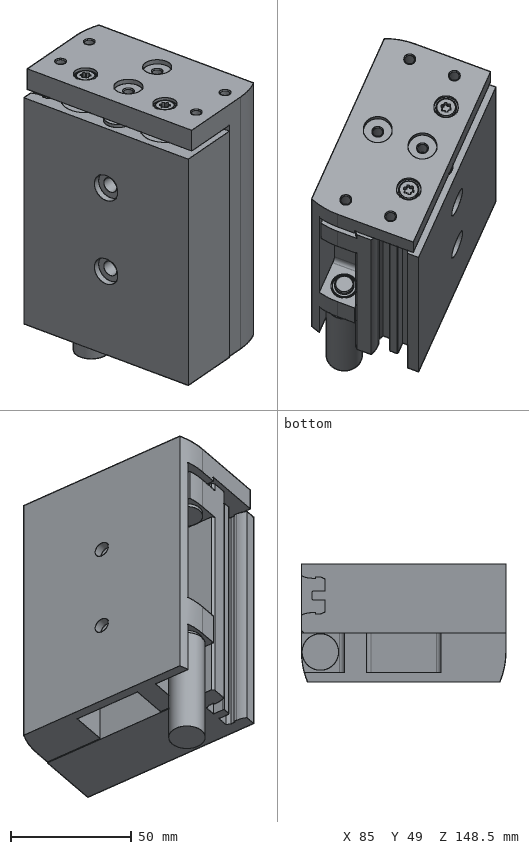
import cadquery as cq
import math

WIDTH = 85.0
DEPTH = 49.0
TOP_Z = 148.5
HALF_WIDTH = WIDTH / 2

EDGE_ARC_START_Y = 36.4
EDGE_ARC_RADIUS = 32.7

CARRIAGE_BOTTOM_Z = 27.3
CARRIAGE_FRONT_Y = 28.7
END_PLATE_THICKNESS = 10.0
END_PLATE_FRONT_Y = 2.4
END_PLATE_BOTTOM_Z = TOP_Z - END_PLATE_THICKNESS
BACK_WALL_FRONT_Y = DEPTH - 4.0
POCKET_TOP_Z = 136.5
POCKET_WALL_X = -24.7
POCKET_FILLET = 2.0
CHANNEL_HALF_WIDTH = 15.5
DAMPER_LUG_TOP_Z = 65.3
DAMPER_LUG_BOTTOM_Z = 51.2

MOUNT_X = 35.0
MOUNT_ROWS_Y = (15.6, 35.6)
THREAD_DIAMETER = 4.0
THREAD_MOUTH_CHAMFER = 0.5
THREAD_DEPTH = 8.0
SEAT_DIAMETER = 12.0
SEAT_DEPTH = 2.1

HOUSING_BOTTOM_Z = 26.9
HOUSING_TOP_Z = 135.7
HOUSING_BACK_Y = CARRIAGE_FRONT_Y
HOUSING_CORNER_CHAMFER = 1.0
LUG_TOP_Z = 132.3
LUG_BOTTOM_Z = 118.0
LUG_BACK_Y = 44.1
LUG_INNER_X = -27.0
LUG_BOSS_DIAMETER = 13.0
LUG_BOSS_HEIGHT = 1.5
BODY_HOLES_Z = (67.0, 107.0)
BODY_HOLE_DIAMETER = 6.7
BODY_SEAT_DEPTH = 3.0

GROOVE_CENTER_Y = 13.0
GROOVE_MOUTH_HALF_WIDTH = 8.2
GROOVE_LIP_HALF_WIDTH = 7.1
GROOVE_UNDERCUT_HALF_WIDTH = 7.7
GROOVE_FLOOR_HALF_WIDTH = 6.8
GROOVE_LIP_START_DEPTH = 4.5
GROOVE_LIP_END_DEPTH = 5.8
GROOVE_UNDERCUT_END_DEPTH = 7.9
GROOVE_DEPTH = 9.8
GROOVE_RIB_WIDTH = 3.9
GROOVE_RIB_CHAMFER = 0.5

ROD_X = 20.5
ROD_Y = 13.4
ROD_DIAMETER = 10.1
ROD_BOTTOM_Z = 111.4
ROD_RECESS_DIAMETER = 20.0
ROD_RECESS_DEPTH = 1.0
ROD_HEAD_DIAMETER = 8.6
ROD_HEAD_CHAMFER = 0.5
ROD_HEAD_SETBACK = 0.6
ROD_HEAD_SEAT_DIAMETER = 10.1
ROD_HEAD_SEAT_DEPTH = 1.3
STAR_CORE_DIAMETER = 3.3
STAR_LOBE_DIAMETER = 1.2
STAR_POINTS = 6
STAR_DEPTH = 2.2

STUD_Y = 8.3
STUD_FLANGE_DIAMETER = 12.0
STUD_FLANGE_HEIGHT = 1.5
STUD_HEAD_DIAMETER = 6.7
STUD_SHANK_DIAMETER = 6.5
STUD_SHANK_LENGTH = 8.0

DAMPER_X = -34.6
DAMPER_Y = 36.5
DAMPER_DIAMETER = 15.1
DAMPER_BODY_TOP_Z = 49.3
DAMPER_NECK_DIAMETER = 13.0
DAMPER_STEM_DIAMETER = 10.0
DAMPER_HOLE_MOUTH_DIAMETER = 11.0
DAMPER_HOLE_MOUTH_DEPTH = 0.6
DAMPER_PIN_DIAMETER = 8.0
DAMPER_PIN_HEIGHT = 1.8
DAMPER_PIN_CHAMFER = 0.5


def box(x_range, y_range, z_range):
    """Box between the given (low, high) limits along each axis."""
    return (
        cq.Workplane("XY")
        .box(x_range[1] - x_range[0], y_range[1] - y_range[0], z_range[1] - z_range[0], centered=False)
        .translate((x_range[0], y_range[0], z_range[0]))
    )


def post(x, y, diameter, z_low, z_high):
    """Upright cylinder."""
    return cq.Workplane("XY", origin=(x, y, z_low)).circle(diameter / 2).extrude(z_high - z_low)


def arc_inset(y):
    """How far the rounded rear edge lies inside the full half width at a given Y."""
    return EDGE_ARC_RADIUS - math.sqrt(EDGE_ARC_RADIUS**2 - (y - EDGE_ARC_START_Y) ** 2)


def rounded_outline(front_y, z_low, z_high):
    """Full-width prism whose two rear edges curve inward."""
    middle_y = (EDGE_ARC_START_Y + DEPTH) / 2
    middle_x = HALF_WIDTH - arc_inset(middle_y)
    back_x = HALF_WIDTH - arc_inset(DEPTH)
    return (
        cq.Workplane("XY", origin=(0, 0, z_low))
        .moveTo(-HALF_WIDTH, front_y)
        .lineTo(HALF_WIDTH, front_y)
        .lineTo(HALF_WIDTH, EDGE_ARC_START_Y)
        .threePointArc((middle_x, middle_y), (back_x, DEPTH))
        .lineTo(-back_x, DEPTH)
        .threePointArc((-middle_x, middle_y), (-HALF_WIDTH, EDGE_ARC_START_Y))
        .close()
        .extrude(z_high - z_low)
    )


def body_holes():
    """Cutters for the cross holes that run front to back through housing and carriage."""
    points = [(0, z) for z in BODY_HOLES_Z]
    return cq.Workplane("XZ").pushPoints(points).circle(BODY_HOLE_DIAMETER / 2).extrude(-DEPTH)


def carriage_clearances():
    """Rear channel and the two side pockets above and below the damper lug."""
    depth_range = (CARRIAGE_FRONT_Y, BACK_WALL_FRONT_Y)
    pocket_x = (-HALF_WIDTH, POCKET_WALL_X)
    channel = box(
        (-CHANNEL_HALF_WIDTH, CHANNEL_HALF_WIDTH), depth_range, (CARRIAGE_BOTTOM_Z, POCKET_TOP_Z)
    ).edges("|Y and >Z").fillet(POCKET_FILLET)
    upper_pocket = box(pocket_x, depth_range, (DAMPER_LUG_TOP_Z, POCKET_TOP_Z))
    upper_pocket = upper_pocket.edges("|Y and >X").fillet(POCKET_FILLET)
    lower_pocket = box(pocket_x, depth_range, (CARRIAGE_BOTTOM_Z, DAMPER_LUG_BOTTOM_Z))
    lower_pocket = lower_pocket.edges("|Y and >X and >Z").fillet(POCKET_FILLET)
    return channel, upper_pocket, lower_pocket


def threaded_hole(x, y, mouth_z):
    """Cutter for a blind hole with a chamfered mouth."""
    hole = post(x, y, THREAD_DIAMETER, mouth_z - THREAD_DEPTH, mouth_z)
    mouth_radius = THREAD_DIAMETER / 2 + THREAD_MOUTH_CHAMFER
    mouth = cq.Solid.makeCone(
        mouth_radius - THREAD_MOUTH_CHAMFER,
        mouth_radius,
        THREAD_MOUTH_CHAMFER,
        cq.Vector(x, y, mouth_z - THREAD_MOUTH_CHAMFER),
    )
    return hole.union(cq.Workplane(mouth))


def make_carriage():
    carriage = rounded_outline(END_PLATE_FRONT_Y, END_PLATE_BOTTOM_Z, TOP_Z)
    carriage = carriage.union(rounded_outline(CARRIAGE_FRONT_Y, CARRIAGE_BOTTOM_Z, END_PLATE_BOTTOM_Z))
    for clearance in carriage_clearances():
        carriage = carriage.cut(clearance)

    for y in MOUNT_ROWS_Y:
        for x in (-MOUNT_X, MOUNT_X):
            carriage = carriage.cut(threaded_hole(x, y, TOP_Z))
        carriage = carriage.cut(post(0, y, SEAT_DIAMETER, TOP_Z - SEAT_DEPTH, TOP_Z))
        carriage = carriage.cut(threaded_hole(0, y, TOP_Z - SEAT_DEPTH))

    for x in (-ROD_X, ROD_X):
        carriage = carriage.cut(post(x, ROD_Y, ROD_HEAD_DIAMETER, END_PLATE_BOTTOM_Z, TOP_Z))
        carriage = carriage.cut(
            post(x, ROD_Y, ROD_HEAD_SEAT_DIAMETER, TOP_Z - ROD_HEAD_SEAT_DEPTH, TOP_Z)
        )

    carriage = carriage.cut(
        post(DAMPER_X, DAMPER_Y, DAMPER_STEM_DIAMETER, DAMPER_LUG_BOTTOM_Z, DAMPER_LUG_TOP_Z)
    )
    carriage = carriage.cut(
        post(
            DAMPER_X,
            DAMPER_Y,
            DAMPER_HOLE_MOUTH_DIAMETER,
            DAMPER_LUG_TOP_Z - DAMPER_HOLE_MOUTH_DEPTH,
            DAMPER_LUG_TOP_Z,
        )
    )
    return carriage.cut(body_holes())


def groove_flare_middle():
    """Middle point of the flare arc that leaves the lip tangentially and ends at the groove mouth."""
    flare = GROOVE_MOUTH_HALF_WIDTH - GROOVE_LIP_HALF_WIDTH
    radius = (GROOVE_LIP_START_DEPTH**2 + flare**2) / (2 * flare)
    half_sweep = math.asin(GROOVE_LIP_START_DEPTH / radius) / 2
    depth = GROOVE_LIP_START_DEPTH - radius * math.sin(half_sweep)
    half_width = GROOVE_LIP_HALF_WIDTH + radius * (1 - math.cos(half_sweep))
    return depth, half_width


def side_groove():
    """Cutter for the ribbed sensor groove along the -X side."""
    back_wall = [
        (GROOVE_LIP_END_DEPTH, GROOVE_LIP_HALF_WIDTH),
        (GROOVE_LIP_END_DEPTH, GROOVE_UNDERCUT_HALF_WIDTH),
        (GROOVE_UNDERCUT_END_DEPTH, GROOVE_UNDERCUT_HALF_WIDTH),
        (GROOVE_DEPTH, GROOVE_FLOOR_HALF_WIDTH),
    ]
    front_wall = [(depth, -half_width) for depth, half_width in reversed(back_wall)]
    flare_depth, flare_half_width = groove_flare_middle()
    groove_origin = (-HALF_WIDTH, GROOVE_CENTER_Y, HOUSING_BOTTOM_Z)
    groove = cq.Workplane("XY", origin=groove_origin).moveTo(GROOVE_LIP_START_DEPTH, GROOVE_LIP_HALF_WIDTH)
    for depth, y in back_wall + front_wall:
        groove = groove.lineTo(depth, y)
    groove = (
        groove.lineTo(GROOVE_LIP_START_DEPTH, -GROOVE_LIP_HALF_WIDTH)
        .threePointArc((flare_depth, -flare_half_width), (0, -GROOVE_MOUTH_HALF_WIDTH))
        .lineTo(0, GROOVE_MOUTH_HALF_WIDTH)
        .threePointArc((flare_depth, flare_half_width), (GROOVE_LIP_START_DEPTH, GROOVE_LIP_HALF_WIDTH))
        .close()
        .extrude(HOUSING_TOP_Z - HOUSING_BOTTOM_Z)
    )
    rib_x = (-HALF_WIDTH + GROOVE_LIP_START_DEPTH, -HALF_WIDTH + GROOVE_DEPTH)
    rib_y = (GROOVE_CENTER_Y - GROOVE_RIB_WIDTH / 2, GROOVE_CENTER_Y + GROOVE_RIB_WIDTH / 2)
    rib = box(rib_x, rib_y, (HOUSING_BOTTOM_Z, HOUSING_TOP_Z))
    return groove.cut(rib.edges("|Z and <X").chamfer(GROOVE_RIB_CHAMFER))


def make_housing():
    housing = box((-HALF_WIDTH, HALF_WIDTH), (0, HOUSING_BACK_Y), (HOUSING_BOTTOM_Z, HOUSING_TOP_Z))
    housing = housing.edges("|Z and <X and >Y").chamfer(HOUSING_CORNER_CHAMFER)

    lug_root_y = HOUSING_BACK_Y - HOUSING_CORNER_CHAMFER
    lug = rounded_outline(lug_root_y, LUG_BOTTOM_Z, LUG_TOP_Z).intersect(
        box((-HALF_WIDTH, LUG_INNER_X), (lug_root_y, LUG_BACK_Y), (LUG_BOTTOM_Z, LUG_TOP_Z))
    )
    housing = housing.union(lug)
    housing = housing.union(
        post(DAMPER_X, DAMPER_Y, LUG_BOSS_DIAMETER, LUG_BOTTOM_Z - LUG_BOSS_HEIGHT, LUG_BOTTOM_Z)
    )

    housing = housing.cut(side_groove())

    for x in (-ROD_X, ROD_X):
        housing = housing.cut(post(x, ROD_Y, ROD_DIAMETER, ROD_BOTTOM_Z, HOUSING_TOP_Z))
        housing = housing.cut(
            post(x, ROD_Y, ROD_RECESS_DIAMETER, HOUSING_TOP_Z - ROD_RECESS_DEPTH, HOUSING_TOP_Z)
        )

    housing = housing.cut(
        post(0, STUD_Y, STUD_SHANK_DIAMETER, HOUSING_TOP_Z - STUD_SHANK_LENGTH, HOUSING_TOP_Z)
    )

    seats = (
        cq.Workplane("XZ")
        .pushPoints([(0, z) for z in BODY_HOLES_Z])
        .circle(SEAT_DIAMETER / 2)
        .extrude(-BODY_SEAT_DEPTH)
    )
    return housing.cut(body_holes()).cut(seats)


def make_piston_rod(x):
    head_top_z = TOP_Z - ROD_HEAD_SETBACK
    head = post(x, ROD_Y, ROD_HEAD_DIAMETER, END_PLATE_BOTTOM_Z, head_top_z)
    head = head.faces(">Z").edges().chamfer(ROD_HEAD_CHAMFER)
    rod = post(x, ROD_Y, ROD_DIAMETER, ROD_BOTTOM_Z, END_PLATE_BOTTOM_Z).union(head)

    socket = post(x, ROD_Y, STAR_CORE_DIAMETER, head_top_z - STAR_DEPTH, head_top_z)
    for point in range(STAR_POINTS):
        angle = math.radians(90 + point * 360 / STAR_POINTS)
        lobe_x = x + STAR_CORE_DIAMETER / 2 * math.cos(angle)
        lobe_y = ROD_Y + STAR_CORE_DIAMETER / 2 * math.sin(angle)
        socket = socket.union(
            post(lobe_x, lobe_y, STAR_LOBE_DIAMETER, head_top_z - STAR_DEPTH, head_top_z)
        )
    return rod.cut(socket)


def make_stop_stud():
    flange_top_z = HOUSING_TOP_Z + STUD_FLANGE_HEIGHT
    stud = post(0, STUD_Y, STUD_SHANK_DIAMETER, HOUSING_TOP_Z - STUD_SHANK_LENGTH, HOUSING_TOP_Z)
    stud = stud.union(post(0, STUD_Y, STUD_FLANGE_DIAMETER, HOUSING_TOP_Z, flange_top_z))
    return stud.union(post(0, STUD_Y, STUD_HEAD_DIAMETER, flange_top_z, END_PLATE_BOTTOM_Z))


def make_damper():
    pin_top_z = DAMPER_LUG_TOP_Z + DAMPER_PIN_HEIGHT
    pin = post(DAMPER_X, DAMPER_Y, DAMPER_PIN_DIAMETER, DAMPER_LUG_TOP_Z, pin_top_z)
    pin = pin.faces(">Z").edges().chamfer(DAMPER_PIN_CHAMFER)
    damper = post(DAMPER_X, DAMPER_Y, DAMPER_DIAMETER, 0, DAMPER_BODY_TOP_Z)
    damper = damper.union(
        post(DAMPER_X, DAMPER_Y, DAMPER_NECK_DIAMETER, DAMPER_BODY_TOP_Z, DAMPER_LUG_BOTTOM_Z)
    )
    damper = damper.union(
        post(DAMPER_X, DAMPER_Y, DAMPER_STEM_DIAMETER, DAMPER_LUG_BOTTOM_Z, DAMPER_LUG_TOP_Z)
    )
    return damper.union(pin)


carriage = make_carriage()
housing = make_housing()
piston_rods = [make_piston_rod(x) for x in (-ROD_X, ROD_X)]
stop_stud = make_stop_stud()
damper = make_damper()

result = cq.Compound.makeCompound(
    [carriage.val(), housing.val(), *[rod.val() for rod in piston_rods], stop_stud.val(), damper.val()]
)